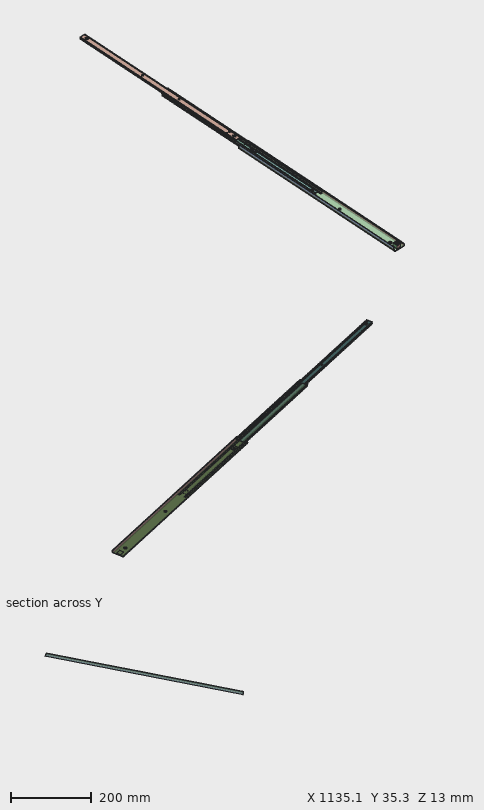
import cadquery as cq
import math


TOTAL_LENGTH = 1135.09
RAIL_LENGTH = 558.8
SLIDE_HEIGHT = 13.0
SHEET = 1.2
THROUGH = 4 * SLIDE_HEIGHT

OUTER_START = TOTAL_LENGTH - RAIL_LENGTH
OUTER_HALF_WIDTH = 35.3 / 2
OUTER_HALF_FLAT = 14.0
OUTER_HEIGHT = 9.6
OUTER_HALF_SHOULDER = 16.8
OUTER_SHOULDER_Z = 2.2
OUTER_CORNER_BULGE = 0.5
OUTER_HALF_MOUTH = 12.4
LIP_RELIEF_LENGTH = 4.0
LIP_RELIEF_Z = 6.0
OUTER_HOLE_X = OUTER_START + 345.0
OUTER_HOLE_D = 7.2
OUTER_HOLE_BORE_D = 4.4
REAR_HOLE_X = TOTAL_LENGTH - 33.3
REAR_HOLE_D = 8.4
REAR_HOLE_BORE_D = 4.4
RECESS_DEPTH = SHEET / 2

MIDDLE_START = 295.5
MIDDLE_LENGTH = 551.0
MIDDLE_END = MIDDLE_START + MIDDLE_LENGTH
MIDDLE_BOTTOM = 1.5
MIDDLE_TOP = 12.8
MIDDLE_HALF_BASE = 11.0
MIDDLE_HALF_GROOVE = 10.2
MIDDLE_GROOVE_TOP_Z = 6.2
MIDDLE_HALF_WIDTH = 12.0
MIDDLE_SHOULDER_Z = 10.2
MIDDLE_HALF_LIP = 10.6
MIDDLE_CORNER_BULGE = 0.5
MIDDLE_HALF_MOUTH = 9.6
HUMP_HALF_FLAT = 4.2
HUMP_HALF_BASE = 6.6
HUMP_RISE = 1.1
WEB_NOTCH_LENGTH = 10.5
WEB_HOLE_X = MIDDLE_END - 24.0
WEB_HOLE_Y = 1.6
WEB_HOLE_D = 5.6

INNER_BOTTOM = 7.4
INNER_HALF_TOP = 8.2
INNER_HALF_BOTTOM = 8.8
INNER_HALF_GROOVE = 7.6
INNER_HALF_MOUTH = 6.6
SLOT_LENGTH = 9.0
SLOT_WIDTH = 5.0
SLOT_INSET = 15.0
INNER_HOLE_XS = (215.4, 345.2)
INNER_HOLE_D = 4.6
LATCH_X = 523.0
LATCH_HOLES = ((3.2, 5.0), (-5.0, 2.6))

STOP_X = 610.3
STOP_LENGTH = 16.0
STOP_WIDTH = 11.0
STOP_TOP = 7.0
STOP_SLOT_LENGTH = 6.0
STOP_SLOT_WIDTH = 4.0

BUMPER_START = 1118.5
BUMPER_LENGTH = 14.0
BUMPER_WIDTH = 12.0
BUMPER_GROOVE_WIDTH = 4.0
BUMPER_GROOVE_DEPTH = 3.0
BUMPER_GROOVE_OFFSETS = (-BUMPER_LENGTH / 4, BUMPER_LENGTH / 4)


def box(x_start, length, width, z_bottom, z_top):
    """Block centred on Y = 0."""
    start_point = cq.Workplane("XY", origin=(x_start, 0, z_bottom))
    return start_point.box(length, width, z_top - z_bottom, centered=(False, True, False))


def round_cutter(x, y, diameter, z_bottom=-THROUGH / 2):
    """Vertical cylinder that cuts upwards from z_bottom."""
    return cq.Workplane("XY", origin=(x, y, z_bottom)).circle(diameter / 2).extrude(THROUGH)


def slot_cutter(x, length, width):
    """Vertical round-ended slot cutter through the full height."""
    return cq.Workplane("XY", origin=(x, 0, -THROUGH / 2)).slot2D(length, width).extrude(THROUGH)


def formed_rail(outline, x_start, length, mouth):
    """Hollow a closed YZ outline to the sheet thickness, then open the mouth between its lips."""
    blank = outline.extrude(length)
    cavity = cq.Workplane("YZ").add(outline.val().offset2D(-SHEET)[0]).toPending().extrude(length)
    return blank.cut(cavity).translate((x_start, 0, 0)).cut(mouth)


def bowed_point(start, end, bulge):
    """Middle point of an arc that bows to the right of the chord by the bulge."""
    run_y = end[0] - start[0]
    run_z = end[1] - start[1]
    chord = math.hypot(run_y, run_z)
    mid_y = (start[0] + end[0]) / 2
    mid_z = (start[1] + end[1]) / 2
    return (mid_y + bulge * run_z / chord, mid_z - bulge * run_y / chord)


def outer_outline():
    """Flat base and top joined by bowed flanks with rounded corners."""
    upper_z = OUTER_HEIGHT - OUTER_SHOULDER_Z
    base = (OUTER_HALF_FLAT, 0)
    lower = (OUTER_HALF_SHOULDER, OUTER_SHOULDER_Z)
    upper = (OUTER_HALF_SHOULDER, upper_z)
    top = (OUTER_HALF_FLAT, OUTER_HEIGHT)
    return (
        cq.Workplane("YZ")
        .moveTo(0, 0)
        .lineTo(*base)
        .threePointArc(bowed_point(base, lower, OUTER_CORNER_BULGE), lower)
        .threePointArc((OUTER_HALF_WIDTH, OUTER_HEIGHT / 2), upper)
        .threePointArc(bowed_point(upper, top, OUTER_CORNER_BULGE), top)
        .lineTo(0, OUTER_HEIGHT)
        .mirrorY()
    )


def make_outer_rail():
    mouth = box(OUTER_START, RAIL_LENGTH, 2 * OUTER_HALF_MOUTH, OUTER_HEIGHT / 2, SLIDE_HEIGHT)
    rail = formed_rail(outer_outline(), OUTER_START, RAIL_LENGTH, mouth)
    relief_start = TOTAL_LENGTH - LIP_RELIEF_LENGTH
    rail = rail.cut(box(relief_start, LIP_RELIEF_LENGTH, 3 * OUTER_HALF_WIDTH, LIP_RELIEF_Z, SLIDE_HEIGHT))
    for x, diameter, bore in (
        (OUTER_HOLE_X, OUTER_HOLE_D, OUTER_HOLE_BORE_D),
        (REAR_HOLE_X, REAR_HOLE_D, REAR_HOLE_BORE_D),
    ):
        rail = rail.cut(round_cutter(x, 0, bore))
        rail = rail.cut(round_cutter(x, 0, diameter, SHEET - RECESS_DEPTH))
    return rail


def middle_outline():
    """Humped base, a ball groove low on each flank, a leaning wall and a rounded lip corner."""
    hump_run = HUMP_HALF_BASE - HUMP_HALF_FLAT
    hump_radius = (hump_run**2 + HUMP_RISE**2) / (2 * HUMP_RISE)
    half_sweep = math.asin(hump_run / hump_radius) / 2
    hump_top = MIDDLE_BOTTOM + HUMP_RISE
    hump_mid_y = HUMP_HALF_FLAT + hump_radius * math.sin(half_sweep)
    hump_mid_z = hump_top - hump_radius * (1 - math.cos(half_sweep))
    groove_mid = (MIDDLE_HALF_GROOVE, (MIDDLE_BOTTOM + MIDDLE_GROOVE_TOP_Z) / 2)
    shoulder = (MIDDLE_HALF_WIDTH, MIDDLE_SHOULDER_Z)
    lip = (MIDDLE_HALF_LIP, MIDDLE_TOP)
    return (
        cq.Workplane("YZ")
        .moveTo(0, hump_top)
        .lineTo(HUMP_HALF_FLAT, hump_top)
        .threePointArc((hump_mid_y, hump_mid_z), (HUMP_HALF_BASE, MIDDLE_BOTTOM))
        .lineTo(MIDDLE_HALF_BASE, MIDDLE_BOTTOM)
        .threePointArc(groove_mid, (MIDDLE_HALF_BASE, MIDDLE_GROOVE_TOP_Z))
        .lineTo(*shoulder)
        .threePointArc(bowed_point(shoulder, lip, MIDDLE_CORNER_BULGE), lip)
        .lineTo(0, MIDDLE_TOP)
        .mirrorY()
    )


def make_middle_rail():
    mouth = box(MIDDLE_START, MIDDLE_LENGTH, 2 * MIDDLE_HALF_MOUTH, MIDDLE_SHOULDER_Z, SLIDE_HEIGHT)
    rail = formed_rail(middle_outline(), MIDDLE_START, MIDDLE_LENGTH, mouth)
    notch_start = MIDDLE_END - WEB_NOTCH_LENGTH
    rail = rail.cut(box(notch_start, WEB_NOTCH_LENGTH, 2 * HUMP_HALF_BASE, 0, SLIDE_HEIGHT))
    rail = rail.cut(round_cutter(WEB_HOLE_X, WEB_HOLE_Y, WEB_HOLE_D))
    stop_window = box(STOP_X - STOP_LENGTH / 2, STOP_LENGTH, STOP_WIDTH, 0, SLIDE_HEIGHT)
    return rail.cut(stop_window)


def inner_outline():
    """Flat top over flanks that are hollowed by a ball groove."""
    groove_z = (INNER_BOTTOM + SLIDE_HEIGHT) / 2
    return (
        cq.Workplane("YZ")
        .moveTo(0, INNER_BOTTOM)
        .lineTo(INNER_HALF_BOTTOM, INNER_BOTTOM)
        .threePointArc((INNER_HALF_GROOVE, groove_z), (INNER_HALF_TOP, SLIDE_HEIGHT))
        .lineTo(0, SLIDE_HEIGHT)
        .mirrorY()
    )


def make_inner_rail():
    mouth = box(0, RAIL_LENGTH, 2 * INNER_HALF_MOUTH, 0, INNER_BOTTOM + 2 * SHEET)
    rail = formed_rail(inner_outline(), 0, RAIL_LENGTH, mouth)
    for x in (SLOT_INSET, RAIL_LENGTH - SLOT_INSET):
        rail = rail.cut(slot_cutter(x, SLOT_LENGTH, SLOT_WIDTH))
    for x in INNER_HOLE_XS:
        rail = rail.cut(round_cutter(x, 0, INNER_HOLE_D))
    for y, diameter in LATCH_HOLES:
        rail = rail.cut(round_cutter(LATCH_X, y, diameter))
    return rail


def make_travel_stop():
    stop = box(STOP_X - STOP_LENGTH / 2, STOP_LENGTH, STOP_WIDTH, MIDDLE_BOTTOM, STOP_TOP)
    return stop.cut(slot_cutter(STOP_X, STOP_SLOT_LENGTH, STOP_SLOT_WIDTH))


def make_end_bumper():
    bumper = box(BUMPER_START, BUMPER_LENGTH, BUMPER_WIDTH, SHEET, SLIDE_HEIGHT)
    groove_bottom = SLIDE_HEIGHT - BUMPER_GROOVE_DEPTH
    for offset in BUMPER_GROOVE_OFFSETS:
        groove_start = BUMPER_START + BUMPER_LENGTH / 2 + offset - BUMPER_GROOVE_WIDTH / 2
        groove = box(groove_start, BUMPER_GROOVE_WIDTH, BUMPER_WIDTH / 2, groove_bottom, SLIDE_HEIGHT)
        bumper = bumper.cut(groove)
    return bumper


outer_rail = make_outer_rail()
middle_rail = make_middle_rail()
inner_rail = make_inner_rail()
travel_stop = make_travel_stop()
end_bumper = make_end_bumper()

result = cq.Compound.makeCompound(
    [
        outer_rail.solids().val(),
        middle_rail.solids().val(),
        inner_rail.solids().val(),
        travel_stop.solids().val(),
        end_bumper.solids().val(),
    ]
)